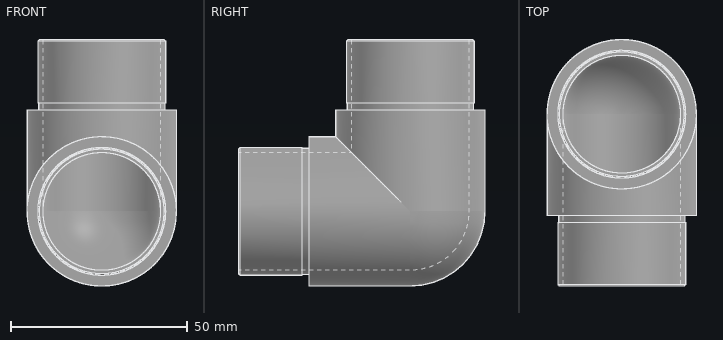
import cadquery as cq

overall_length = 70.0
body_diameter = 42.4
spigot_diameter = 36.3
groove_diameter = 35.9
bore_diameter = 33.4
spigot_length = 20.0
groove_width = 2.0
end_chamfer = 0.5

body_radius = body_diameter / 2
end_distance = overall_length - body_radius
shoulder_distance = end_distance - spigot_length
groove_end_distance = shoulder_distance + groove_width

leg_planes = [
    cq.Plane(origin=(0, 0, 0), xDir=(1, 0, 0), normal=(0, 0, 1)),
    cq.Plane(origin=(0, 0, 0), xDir=(1, 0, 0), normal=(0, -1, 0)),
]


def cylinder(plane, diameter, start, end):
    """Cylinder along the plane normal, between two distances from the corner."""
    return cq.Workplane(plane).workplane(offset=start).circle(diameter / 2).extrude(end - start)


def elbow(diameter, leg_length):
    """Two equal round legs meeting at a ball-shaped corner."""
    solid = cq.Workplane("XY").sphere(diameter / 2)
    for plane in leg_planes:
        solid = solid.union(cylinder(plane, diameter, 0, leg_length))
    return solid


def spigot(plane):
    """Plug-in end: a narrow relief groove at the shoulder, then a chamfered sleeve."""
    groove = cylinder(plane, groove_diameter, shoulder_distance, groove_end_distance)
    sleeve = cylinder(plane, spigot_diameter, groove_end_distance, end_distance)
    end_face = cq.NearestToPointSelector(plane.toWorldCoords((0, 0, end_distance)).toTuple())
    return groove.union(sleeve.faces(end_face).chamfer(end_chamfer))


result = elbow(body_diameter, shoulder_distance)
for leg_plane in leg_planes:
    result = result.union(spigot(leg_plane))

result = result.cut(elbow(bore_diameter, end_distance))